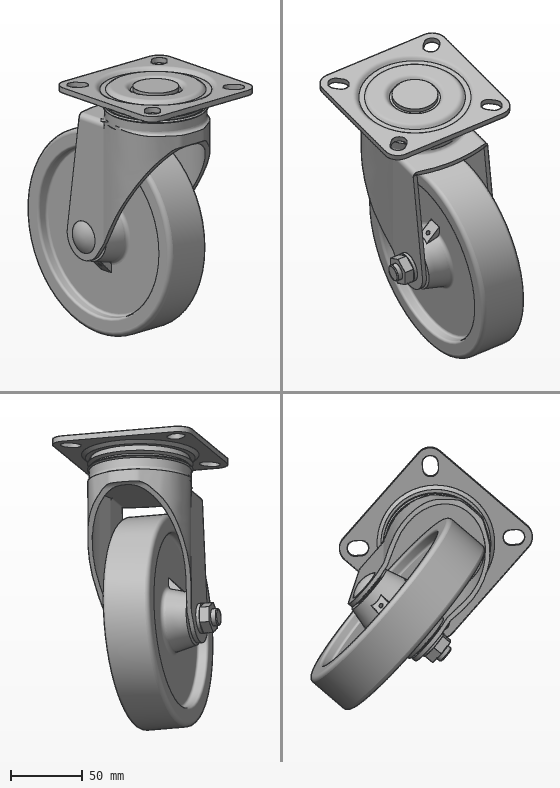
import cadquery as cq
import math


overall_height = 190
wheel_radius = 75.0
plate_top = overall_height - wheel_radius
swivel_x = 40.8

plate_side = 102.0
plate_thickness = 4.0
plate_corner = 10.5
slot_width = 11.0
slot_length = 15.0
slot_offset = 38.8
bend_radius = 4.2
bend_run = bend_radius * math.sin(math.pi / 4)
bend_drop = bend_radius * (1 - math.cos(math.pi / 4))
groove_outer = 43.5
groove_inner = 31.2
groove_depth = 2.5
dish_radius = 22.5
dish_depth = 2.8
pin_head_radius = 16.2
flange_top_radius = 41.2
flange_bottom_radius = 38.5
flange_bottom = plate_top - plate_thickness - groove_depth
race_top_radius = 34.8
race_radius = 37.0
race_rim_z = 104.1
race_bottom = 102.6
journal_radius = 34.5

neck_radius = 36.0
lip_radius = 37.0
lip_z = 100.1
lip_half_height = 1.0
neck_top = lip_z + lip_half_height
flare_top = 93.3
flare_radius = 38.5
fork_top = 90.0
sheet = 3.2
arm_outer = 31.2
arm_inner = arm_outer - sheet
arm_end_radius = 17.1
arm_front_x = -5.1
front_bulge_x = -10.3
fork_front_x = -arm_end_radius - 1.9
arm_bend_x = 20.9
skirt_flare = 0.35
skirt_radius = 36.1
skirt_back_x = 79.6
skirt_x = skirt_back_x - skirt_radius
skirt_bottom = 81.3
skirt_slant_x = 74.9
skirt_slant_z = 78.3
bend_fillet = 4.4

rim_half_width = 17.3
tread_half_width = 14.5
rim_face_radius = 71.0
recess_outer = 63.6
recess_middle = 61.8
recess_inner = 60.0
disc_half_width = 9.5
recess_round = 1.9
hub_half_width = 26.6
hub_end_radius = 18.5
hub_root_radius = 22.0
hub_fillet = 3.0
spacer_radius = 13.0
boss_width = 10.5
boss_reach = 30.4
boss_slope_sum = 39.5
boss_hole_radius = 1.5
boss_hole_z = 24.0
boss_hole_depth = 3.8

bolt_radius = 6.0
bolt_end = 44.8
bolt_chamfer = 0.8
head_radius = 11.8
head_height = 3.8
washer_radius = 10.6
washer_thickness = 2.5
nut_corners = 21.8
nut_thickness = 7.0


def tangent_point(point, centre, radius, side):
    """Point where the tangent line from `point` touches a circle; side is +1 or -1."""
    dx = point[0] - centre[0]
    dy = point[1] - centre[1]
    angle = math.atan2(dy, dx) + side * math.acos(radius / math.hypot(dx, dy))
    return (centre[0] + radius * math.cos(angle), centre[1] + radius * math.sin(angle))


def round_middle(start, corner, end):
    """Middle point of the quarter round that replaces a square corner."""
    reach = 1 - math.sqrt(0.5)
    return tuple(c + reach * (s + e - 2 * c) for s, c, e in zip(start, corner, end))


def pressed_wall(start_radius, depth, direction):
    """Points of a rounded edge and 45 degree wall going down from the flat plate top.

    `direction` is +1 where the wall descends outwards and -1 where it descends inwards.
    """
    half_angle = math.pi / 8
    middle = (
        start_radius + direction * bend_radius * math.sin(half_angle),
        plate_top - bend_radius * (1 - math.cos(half_angle)),
    )
    bend_end = (start_radius + direction * bend_run, plate_top - bend_drop)
    foot = (bend_end[0] + direction * (depth - bend_drop), plate_top - depth)
    return middle, bend_end, foot


def plate_groove():
    inner_middle, inner_bend_end, inner_foot = pressed_wall(groove_inner, groove_depth, 1)
    outer_middle, outer_bend_end, outer_foot = pressed_wall(groove_outer, groove_depth, -1)
    return (
        cq.Workplane("XZ")
        .moveTo(groove_inner, plate_top)
        .threePointArc(inner_middle, inner_bend_end)
        .lineTo(*inner_foot)
        .lineTo(*outer_foot)
        .lineTo(*outer_bend_end)
        .threePointArc(outer_middle, (groove_outer, plate_top))
        .close()
        .revolve(360, (0, 0), (0, 1))
    )


def plate_dish():
    """Round dish in the plate, around the flush head of the swivel pin."""
    middle, bend_end, foot = pressed_wall(dish_radius, dish_depth, -1)
    return (
        cq.Workplane("XZ")
        .moveTo(pin_head_radius, plate_top)
        .lineTo(dish_radius, plate_top)
        .threePointArc(middle, bend_end)
        .lineTo(*foot)
        .lineTo(pin_head_radius, plate_top - dish_depth)
        .close()
        .revolve(360, (0, 0), (0, 1))
    )


def swivel_race():
    plate_bottom = plate_top - plate_thickness
    return (
        cq.Workplane("XZ")
        .polyline([
            (0, plate_bottom),
            (flange_top_radius, plate_bottom),
            (flange_bottom_radius, flange_bottom),
            (race_top_radius, flange_bottom),
            (race_radius, race_rim_z),
            (journal_radius, race_bottom),
            (journal_radius, neck_top),
            (0, neck_top),
        ])
        .close()
        .revolve(360, (0, 0), (0, 1))
    )


def make_plate():
    plate = (
        cq.Workplane("XY", origin=(0, 0, plate_top))
        .rect(plate_side, plate_side)
        .extrude(-plate_thickness)
        .edges("|Z")
        .fillet(plate_corner)
    )
    plate = plate.union(swivel_race()).cut(plate_groove()).cut(plate_dish())
    for quarter in range(4):
        slot = (
            cq.Workplane("XY", origin=(0, 0, plate_top))
            .center(slot_offset, slot_offset)
            .transformed(rotate=(0, 0, 45))
            .slot2D(slot_length, slot_width)
            .extrude(-plate_thickness)
        )
        plate = plate.cut(slot.rotate((0, 0, 0), (0, 0, 1), 90 * quarter))
    return plate.translate((swivel_x, 0, 0))


def skirt_column(top):
    """Rear part of the fork as a solid column, flaring smoothly from the arms to a round back."""
    steps = 4
    turns = [math.pi / 2 * step / steps for step in range(steps + 1)]
    round_back = [
        (skirt_x + skirt_radius * math.sin(turn), skirt_radius * math.cos(turn)) for turn in turns
    ]
    half = (
        cq.Workplane("XY", origin=(0, 0, -arm_end_radius))
        .moveTo(arm_bend_x, 0)
        .lineTo(arm_bend_x, arm_outer)
        .spline(
            round_back,
            tangents=[(1, skirt_flare), (0, -1)],
            includeCurrent=True,
        )
        .close()
        .extrude(top + arm_end_radius)
    )
    return half.union(half.mirror("XZ"))


def skirt_hollow(top):
    """Space inside the skirt, one sheet thickness from its outside: flat flanks and a round back."""
    radius = skirt_radius - sheet
    touch_x, touch_y = tangent_point((arm_bend_x, arm_inner), (skirt_x, 0), radius, -1)
    return (
        cq.Workplane("XY", origin=(0, 0, -arm_end_radius))
        .moveTo(arm_bend_x, -arm_inner)
        .lineTo(touch_x, -touch_y)
        .threePointArc((skirt_x + radius, 0), (touch_x, touch_y))
        .lineTo(arm_bend_x, arm_inner)
        .close()
        .extrude(top + arm_end_radius)
    )


def arm_block(inset, front_x, top):
    """Front part of the fork as a solid block with rounded upper edges, moved inwards by `inset`."""
    half_width = arm_outer - inset
    return (
        cq.Workplane("XY")
        .box(
            arm_bend_x - front_x,
            2 * half_width,
            top + arm_end_radius,
            centered=(False, True, False),
        )
        .translate((front_x, 0, -arm_end_radius))
        .edges("|X and >Z")
        .fillet(bend_fillet - inset)
    )


def lip_trim():
    """Material in front of the bowed front edge of the fork top."""
    return (
        cq.Workplane("XY", origin=(0, 0, fork_top - bend_fillet))
        .moveTo(arm_front_x, -arm_outer)
        .threePointArc((front_bulge_x, 0), (arm_front_x, arm_outer))
        .lineTo(fork_front_x, arm_outer)
        .lineTo(fork_front_x, -arm_outer)
        .close()
        .extrude(bend_fillet)
    )


def fork_side():
    """Side outline of the fork, extruded across its width."""
    front_touch = tangent_point((arm_front_x, fork_top - bend_fillet), (0, 0), arm_end_radius, 1)
    back_touch = tangent_point((skirt_slant_x, skirt_slant_z), (0, 0), arm_end_radius, -1)
    reach = skirt_radius + sheet
    return (
        cq.Workplane("XZ", origin=(0, reach, 0))
        .moveTo(front_bulge_x, fork_top)
        .lineTo(front_bulge_x, fork_top - sheet)
        .lineTo(arm_front_x, fork_top - sheet)
        .lineTo(arm_front_x, fork_top - bend_fillet)
        .lineTo(*front_touch)
        .threePointArc((0, -arm_end_radius), back_touch)
        .lineTo(skirt_slant_x, skirt_slant_z)
        .tangentArcPoint((skirt_back_x, skirt_bottom), relative=False)
        .lineTo(skirt_back_x, fork_top)
        .close()
        .extrude(2 * reach)
    )


def fork_neck():
    return (
        cq.Workplane("XZ")
        .polyline([
            (0, fork_top),
            (neck_radius, fork_top),
            (neck_radius, lip_z - lip_half_height),
            (lip_radius, lip_z),
            (neck_radius, neck_top),
            (0, neck_top),
        ])
        .close()
        .revolve(360, (0, 0), (0, 1))
        .translate((swivel_x, 0, 0))
    )


def neck_flare():
    """Round flare between the neck and the fork top."""
    foot = (flare_radius, fork_top)
    upper_end = (neck_radius, flare_top)
    middle = round_middle(foot, (neck_radius, fork_top), upper_end)
    return (
        cq.Workplane("XZ")
        .moveTo(0, fork_top)
        .lineTo(*foot)
        .threePointArc(middle, upper_end)
        .lineTo(0, flare_top)
        .close()
        .revolve(360, (0, 0), (0, 1))
        .translate((swivel_x, 0, 0))
    )


def make_fork():
    ceiling = fork_top - sheet
    outside = arm_block(0, fork_front_x, fork_top).union(skirt_column(fork_top))
    inside = arm_block(sheet, 2 * fork_front_x, ceiling).union(skirt_hollow(ceiling))
    shell = outside.cut(inside).intersect(fork_side()).cut(lip_trim())
    footprint = skirt_column(flare_top).union(arm_block(0, fork_front_x, flare_top + bend_fillet))
    fork = shell.union(neck_flare().intersect(footprint)).union(fork_neck())
    bore = cq.Workplane("XZ", origin=(0, arm_outer, 0)).circle(bolt_radius).extrude(2 * arm_outer)
    return fork.cut(bore)


def wheel_half():
    """Half of the wheel on the +Y side, without its boss."""
    tread_end = (wheel_radius, tread_half_width)
    face_start = (rim_face_radius, rim_half_width)
    lip_start = (recess_outer, rim_half_width)
    lip_end = (recess_middle, rim_half_width - recess_round)
    floor_round_start = (recess_middle, disc_half_width + recess_round)
    floor_round_end = (recess_inner, disc_half_width)
    hub_round_start = (hub_root_radius + hub_fillet, disc_half_width)
    hub_round_end = (hub_root_radius, disc_half_width + hub_fillet)
    tread_corner = (wheel_radius, rim_half_width)
    lip_corner = (recess_middle, rim_half_width)
    floor_corner = (recess_middle, disc_half_width)
    hub_corner = (hub_root_radius, disc_half_width)
    return (
        cq.Workplane("XY")
        .moveTo(bolt_radius, 0)
        .lineTo(wheel_radius, 0)
        .lineTo(*tread_end)
        .threePointArc(round_middle(tread_end, tread_corner, face_start), face_start)
        .lineTo(*lip_start)
        .threePointArc(round_middle(lip_start, lip_corner, lip_end), lip_end)
        .lineTo(*floor_round_start)
        .threePointArc(round_middle(floor_round_start, floor_corner, floor_round_end), floor_round_end)
        .lineTo(*hub_round_start)
        .threePointArc(round_middle(hub_round_start, hub_corner, hub_round_end), hub_round_end)
        .lineTo(hub_end_radius, hub_half_width)
        .lineTo(spacer_radius, hub_half_width)
        .lineTo(spacer_radius, arm_inner)
        .lineTo(bolt_radius, arm_inner)
        .close()
        .revolve(360, (0, 0), (0, 1))
    )


def hub_boss():
    """Block above the hub on the +Y side, with a 45 degree face and a blind hole square to it."""
    block = (
        cq.Workplane("YZ", origin=(-boss_width / 2, 0, 0))
        .polyline([
            (0, hub_end_radius),
            (boss_slope_sum - hub_end_radius, hub_end_radius),
            (boss_slope_sum - boss_reach, boss_reach),
            (0, boss_reach),
        ])
        .close()
        .extrude(boss_width)
    )
    limit = cq.Workplane("XZ", origin=(0, hub_half_width, 0)).circle(boss_reach).extrude(hub_half_width)
    mouth = cq.Vector(0, boss_slope_sum - boss_hole_z, boss_hole_z)
    hole = cq.Solid.makeCylinder(boss_hole_radius, boss_hole_depth, mouth, cq.Vector(0, -1, -1))
    return block.intersect(limit).cut(cq.Workplane(hole)), cq.Workplane(hole)


def make_wheel():
    boss, hole = hub_boss()
    half = wheel_half().union(boss).cut(hole)
    return half.union(half.rotate((0, 0, 0), (1, 0, 0), 180))


def make_bolt():
    head_top = -arm_outer - head_height
    dome_radius = (head_radius**2 + head_height**2) / (2 * head_height)
    half_angle = math.asin(head_radius / dome_radius) / 2
    dome_middle = (
        dome_radius * math.sin(half_angle),
        head_top + dome_radius * (1 - math.cos(half_angle)),
    )
    return (
        cq.Workplane("XY")
        .moveTo(0, head_top)
        .threePointArc(dome_middle, (head_radius, -arm_outer))
        .lineTo(bolt_radius, -arm_outer)
        .lineTo(bolt_radius, bolt_end - bolt_chamfer)
        .lineTo(bolt_radius - bolt_chamfer, bolt_end)
        .lineTo(0, bolt_end)
        .close()
        .revolve(360, (0, 0), (0, 1))
    )


def make_nut():
    washer = cq.Workplane("XZ", origin=(0, arm_outer, 0)).circle(washer_radius).extrude(-washer_thickness)
    hexagon = (
        cq.Workplane("XZ", origin=(0, arm_outer + washer_thickness, 0))
        .transformed(rotate=(0, 0, 90))
        .polygon(6, nut_corners)
        .extrude(-nut_thickness)
    )
    bore = cq.Workplane("XZ", origin=(0, arm_outer, 0)).circle(bolt_radius).extrude(-bolt_end)
    return washer.union(hexagon).cut(bore)


plate = make_plate()
fork = make_fork()
wheel = make_wheel()
bolt = make_bolt()
nut = make_nut()

result = cq.Compound.makeCompound([plate.val(), fork.val(), wheel.val(), bolt.val(), nut.val()])